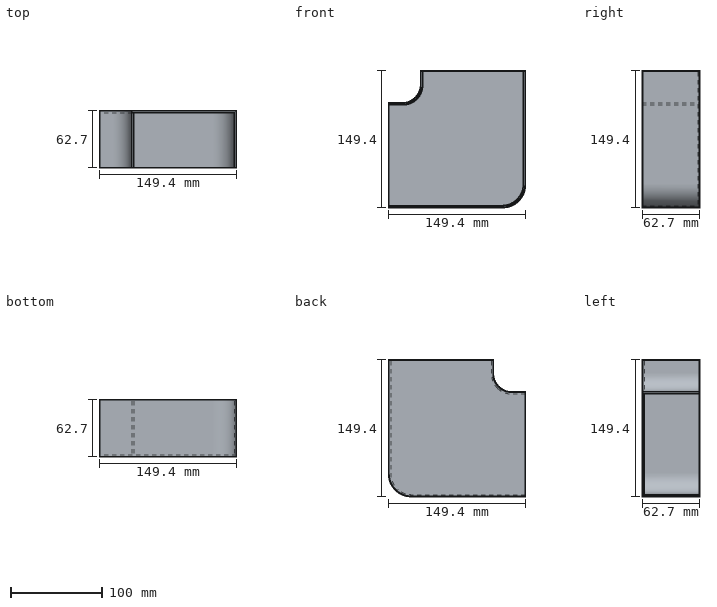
import cadquery as cq

side = 149.4
depth = 62.7
wall = 2.2
notch = 35.0
notch_radius = 20.0
corner_radius = 25.0


def elbow_block(inset, length):
    """Elbow-shaped prism from Y = 0 toward +Y.

    Both curved sides are moved inward by the inset; the flat leg ends at
    X = 0 and Z = side stay where they are.
    """
    right = side - inset
    bottom = inset
    notch_right = notch + inset
    notch_bottom = side - notch - inset
    outer_radius = corner_radius - inset
    inner_radius = notch_radius + inset

    return (
        cq.Workplane("XZ")
        .moveTo(0, bottom)
        .lineTo(right - outer_radius, bottom)
        .radiusArc((right, bottom + outer_radius), -outer_radius)
        .lineTo(right, side)
        .lineTo(notch_right, side)
        .lineTo(notch_right, notch_bottom + inner_radius)
        .radiusArc((notch_right - inner_radius, notch_bottom), inner_radius)
        .lineTo(0, notch_bottom)
        .close()
        .extrude(-length)
    )


body = elbow_block(0, depth)
channel = elbow_block(wall, depth - wall)
result = body.cut(channel)